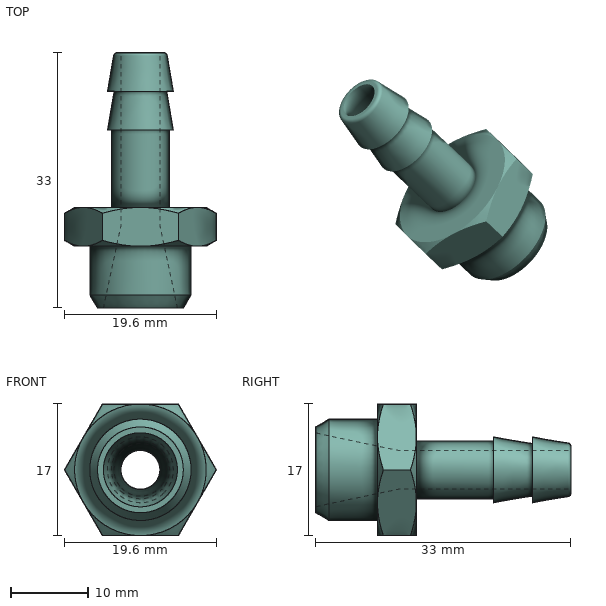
import cadquery as cq
import math

total_length = 33.0
thread_length = 8.0
hex_length = 5.0
barb_length = 5.0
thread_chamfer_length = 1.7
barb_count = 2

thread_diameter = 13.1
thread_end_diameter = 11.1
stem_diameter = 7.5
barb_large_diameter = 8.5
barb_small_diameter = 6.8
bore_diameter = 5.0
cone_mouth_diameter = 9.57

hex_across_flats = 17.0
hex_chamfer_angle = 30.0
cone_half_angle = 12.0
tip_fillet = 0.5

hex_across_corners = hex_across_flats / math.cos(math.radians(30))
hex_start = thread_length
hex_end = hex_start + hex_length
barbs_start = total_length - barb_count * barb_length


def revolve_about_y(profile):
    """Turn a closed (radius, Y) profile about the Y axis."""
    return profile.close().revolve(360, (0, 0, 0), (0, 1, 0))


def make_thread_body():
    """Plain threaded shank with a chamfered open end."""
    profile = (
        cq.Workplane("XY")
        .lineTo(thread_end_diameter / 2, 0)
        .lineTo(thread_diameter / 2, thread_chamfer_length)
        .lineTo(thread_diameter / 2, hex_start)
        .lineTo(0, hex_start)
    )
    return revolve_about_y(profile)


def make_hexagon():
    """Hexagon with corners on the X axis, chamfered at both ends."""
    prism = (
        cq.Workplane("XZ", origin=(0, hex_start, 0))
        .polygon(6, hex_across_corners)
        .extrude(-hex_length)
    )
    flat_radius = hex_across_flats / 2
    corner_radius = hex_across_corners / 2
    chamfer_length = (corner_radius - flat_radius) * math.tan(math.radians(hex_chamfer_angle))
    envelope = (
        cq.Workplane("XY")
        .moveTo(0, hex_start)
        .lineTo(flat_radius, hex_start)
        .lineTo(corner_radius, hex_start + chamfer_length)
        .lineTo(corner_radius, hex_end - chamfer_length)
        .lineTo(flat_radius, hex_end)
        .lineTo(0, hex_end)
    )
    return prism.intersect(revolve_about_y(envelope))


def make_hose_tail():
    """Cylindrical stem followed by tapered barbs with a rounded tip."""
    profile = (
        cq.Workplane("XY")
        .moveTo(0, hex_end)
        .lineTo(stem_diameter / 2, hex_end)
        .lineTo(stem_diameter / 2, barbs_start)
    )
    for index in range(barb_count):
        barb_start = barbs_start + index * barb_length
        profile = profile.lineTo(barb_large_diameter / 2, barb_start)
        profile = profile.lineTo(barb_small_diameter / 2, barb_start + barb_length)
    tail = revolve_about_y(profile.lineTo(0, total_length))
    return tail.faces(">Y").edges().fillet(tip_fillet)


def make_passage():
    """Through bore widening into a sealing cone at the threaded end."""
    bore_radius = bore_diameter / 2
    mouth_radius = cone_mouth_diameter / 2
    cone_depth = (mouth_radius - bore_radius) / math.tan(math.radians(cone_half_angle))
    profile = (
        cq.Workplane("XY")
        .lineTo(mouth_radius, 0)
        .lineTo(bore_radius, cone_depth)
        .lineTo(bore_radius, total_length)
        .lineTo(0, total_length)
    )
    return revolve_about_y(profile)


fitting = make_thread_body().union(make_hexagon()).union(make_hose_tail()).cut(make_passage())

result = fitting.translate((0, -total_length / 2, 0))